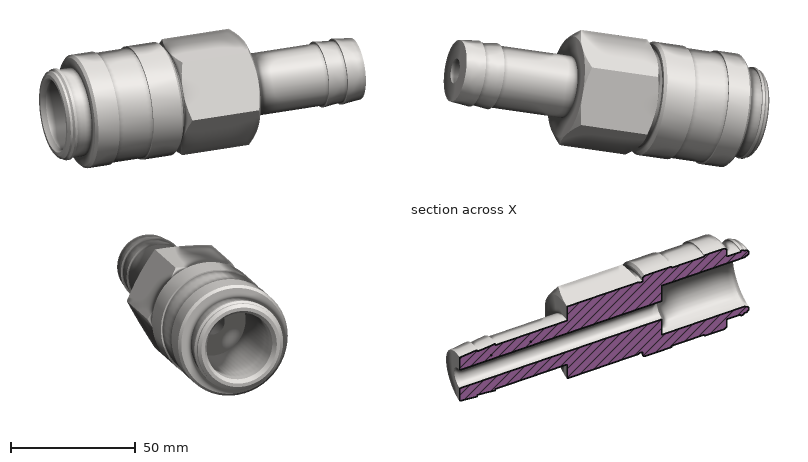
import cadquery as cq
import math

LENGTH = 129

MOUTH_RADIUS = 16.5
LIP_STEP_RADIUS = 17.8
LIP_RADIUS = 18.6
NOSE_RADIUS = 17.9
LIP_STEP_START = 1.0
LIP_STEP_END = 1.9
LIP_START = 2.7
LIP_END = 3.7

SLEEVE_START = 9.9
SLEEVE_END = 47.6
SLEEVE_RADIUS = 23.03
SLEEVE_CHAMFER = 1.0
WAIST_START = 20.0
WAIST_END = 34.5
WAIST_RADIUS = 22.3
NECK_RADIUS = 20.1

HEX_START = 49.0
HEX_END = 81.1
HEX_FLATS = 41.0
HEX_CHAMFER_ANGLE = 30

STEM_RADIUS = 12.58
BARB_BASE_RADIUS = 13.4
BARB_TIP_RADIUS = 12.5
BARB_LENGTH = 8.0
BARB_COUNT = 2

BORE_MOUTH_RADIUS = 15.1
BORE_RADIUS = 13.8
BORE_CHAMFER_DEPTH = 1.9
BORE_DEPTH = 38.7
PASSAGE_RADIUS = 5.0


def turned(points):
    """Revolve a (radius, station) outline about the Y axis."""
    return cq.Workplane("XY").polyline(points).close().revolve(360, (0, 0), (0, 1))


def socket_body():
    chamfered_radius = SLEEVE_RADIUS - SLEEVE_CHAMFER
    return turned([
        (0, 0),
        (MOUTH_RADIUS, 0),
        (LIP_STEP_RADIUS, LIP_STEP_START),
        (LIP_STEP_RADIUS, LIP_STEP_END),
        (LIP_RADIUS, LIP_START),
        (LIP_RADIUS, LIP_END),
        (NOSE_RADIUS, LIP_END),
        (NOSE_RADIUS, SLEEVE_START),
        (chamfered_radius, SLEEVE_START),
        (SLEEVE_RADIUS, SLEEVE_START + SLEEVE_CHAMFER),
        (SLEEVE_RADIUS, WAIST_START),
        (WAIST_RADIUS, WAIST_START),
        (WAIST_RADIUS, WAIST_END),
        (SLEEVE_RADIUS, WAIST_END),
        (SLEEVE_RADIUS, SLEEVE_END - SLEEVE_CHAMFER),
        (chamfered_radius, SLEEVE_END),
        (NECK_RADIUS, SLEEVE_END),
        (NECK_RADIUS, HEX_START),
        (0, HEX_START),
    ])


def hexagon():
    """Hexagonal prism with both ends turned to a conical chamfer."""
    corner_radius = HEX_FLATS / math.sqrt(3)
    face_radius = HEX_FLATS / 2
    chamfer_length = (corner_radius - face_radius) * math.tan(math.radians(HEX_CHAMFER_ANGLE))
    prism = (
        cq.Workplane("XZ", origin=(0, HEX_START, 0))
        .polygon(6, 2 * corner_radius)
        .extrude(HEX_START - HEX_END)
    )
    envelope = turned([
        (0, HEX_START),
        (face_radius, HEX_START),
        (corner_radius, HEX_START + chamfer_length),
        (corner_radius, HEX_END - chamfer_length),
        (face_radius, HEX_END),
        (0, HEX_END),
    ])
    return prism.intersect(envelope)


def hose_stem():
    outline = [(0, HEX_END), (STEM_RADIUS, HEX_END)]
    barbs_start = LENGTH - BARB_COUNT * BARB_LENGTH
    outline.append((STEM_RADIUS, barbs_start))
    for index in range(BARB_COUNT):
        base = barbs_start + index * BARB_LENGTH
        outline.append((BARB_BASE_RADIUS, base))
        outline.append((BARB_TIP_RADIUS, base + BARB_LENGTH))
    outline.append((0, LENGTH))
    return turned(outline)


def passages():
    """Chamfered socket bore leading into the through passage."""
    return turned([
        (0, 0),
        (BORE_MOUTH_RADIUS, 0),
        (BORE_RADIUS, BORE_CHAMFER_DEPTH),
        (BORE_RADIUS, BORE_DEPTH),
        (PASSAGE_RADIUS, BORE_DEPTH),
        (PASSAGE_RADIUS, LENGTH),
        (0, LENGTH),
    ])


result = socket_body().union(hexagon()).union(hose_stem()).cut(passages())
result = result.translate((0, -LENGTH / 2, 0))